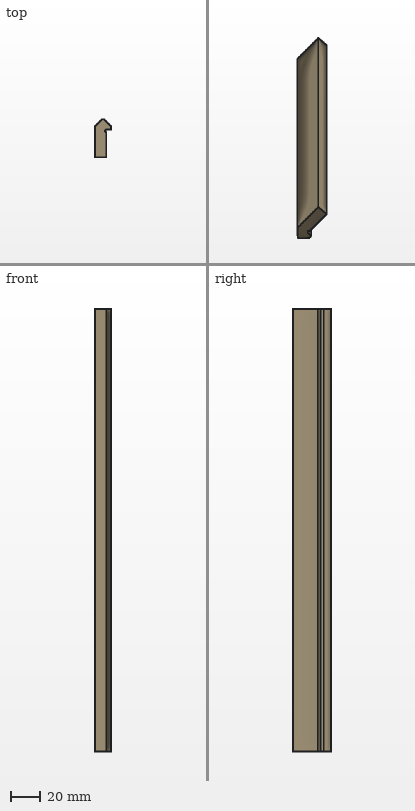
import cadquery as cq
import math

bar_length = 304.8
overall_width = 11.1
overall_depth = 26.34

stem_width = 7.9
tip_radius = 1.5
lip_thickness = 2.35
relief_radius = 0.9

left_x = -overall_width / 2
right_x = overall_width / 2
stem_right_x = left_x + stem_width

base_y = -overall_depth / 2
tip_y = overall_depth / 2
tip_center_y = tip_y - tip_radius
tangent_offset = tip_radius * math.sin(math.radians(45))
tangent_y = tip_center_y + tangent_offset

shoulder_y = tangent_y - (right_x - tangent_offset)
lip_under_y = shoulder_y - lip_thickness
relief_center_y = lip_under_y - relief_radius
relief_bottom_y = relief_center_y - relief_radius


def bar_profile():
    """Flat stem with a rounded 45 degree tip, a side lip and a half-round relief beneath the lip."""
    return (
        cq.Workplane("XY")
        .moveTo(left_x, base_y)
        .lineTo(stem_right_x, base_y)
        .lineTo(stem_right_x, relief_bottom_y)
        .threePointArc((stem_right_x - relief_radius, relief_center_y), (stem_right_x, lip_under_y))
        .lineTo(right_x, lip_under_y)
        .lineTo(right_x, shoulder_y)
        .lineTo(tangent_offset, tangent_y)
        .threePointArc((0, tip_y), (-tangent_offset, tangent_y))
        .lineTo(left_x, shoulder_y)
        .close()
    )


result = bar_profile().extrude(bar_length)